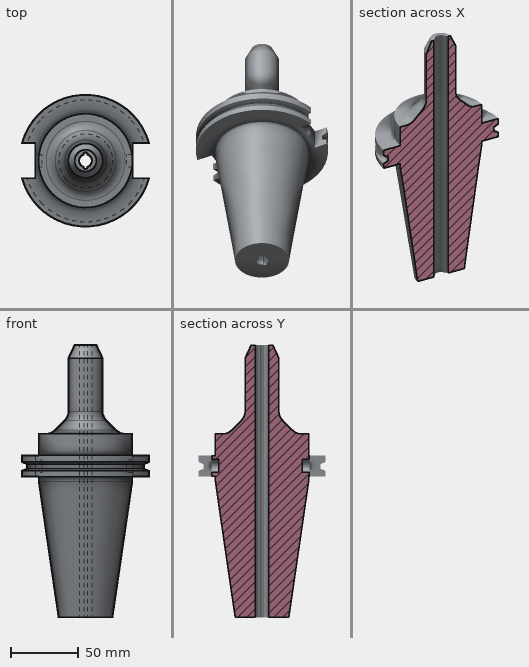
import cadquery as cq
import math

total_height = 203.2
gauge_height = 101.5
flange_bottom = 105.0
flange_thickness = 15.8
flange_top = flange_bottom + flange_thickness
flange_middle = flange_bottom + flange_thickness / 2
body_top = 137.0
neck_bottom = 153.6
nose_height = 10.0

taper_ratio = 7 / 24
gauge_radius = 35.0
taper_end_radius = gauge_radius - gauge_height * taper_ratio / 2
flange_radius = 49.2
neck_radius = 12.8
nose_radius = 8.1

flare_fillet = 9.5
flare_foot_radius = neck_radius + neck_bottom - body_top

groove_depth = 3.7
groove_width = 6.7
groove_floor_width = 3.5
groove_middle = 112.5

slot_width = 26.0
left_slot_floor_x = -37.5
right_slot_floor_x = 35.4
slot_hole_diameter = 9.3
slot_hole_depth = 5.0

bore_diameter = 9.3
coolant_groove_width = 2.8
coolant_groove_reach = 6.0


def turned_body():
    """Revolve the taper, flange, body, flare, neck and nose about Z."""
    half = math.radians(45)
    quarter = half / 2
    upper_center = (neck_radius + flare_fillet, neck_bottom)
    lower_center = (flare_foot_radius, body_top + flare_fillet)

    def below_left(center, angle):
        """Point on a fillet, angle measured from -X towards -Z."""
        return (
            center[0] - flare_fillet * math.cos(angle),
            center[1] - flare_fillet * math.sin(angle),
        )

    groove_floor_radius = flange_radius - groove_depth
    profile = (
        cq.Workplane("XZ")
        .moveTo(0, 0)
        .lineTo(taper_end_radius, 0)
        .lineTo(gauge_radius, gauge_height)
        .lineTo(gauge_radius, flange_bottom)
        .lineTo(flange_radius, flange_bottom)
        .lineTo(flange_radius, groove_middle - groove_width / 2)
        .lineTo(groove_floor_radius, groove_middle - groove_floor_width / 2)
        .lineTo(groove_floor_radius, groove_middle + groove_floor_width / 2)
        .lineTo(flange_radius, groove_middle + groove_width / 2)
        .lineTo(flange_radius, flange_top)
        .lineTo(gauge_radius, flange_top)
        .lineTo(gauge_radius, body_top)
        .lineTo(flare_foot_radius, body_top)
        .threePointArc(below_left(lower_center, half + quarter), below_left(lower_center, half))
        .lineTo(*below_left(upper_center, half))
        .threePointArc(below_left(upper_center, quarter), (neck_radius, neck_bottom))
        .lineTo(neck_radius, total_height - nose_height)
        .lineTo(nose_radius, total_height)
        .lineTo(0, total_height)
        .close()
    )
    return profile.revolve(360, (0, 0, 0), (0, 1, 0))


def drive_slot(floor_x):
    """Slot and floor hole to remove, open outwards from floor_x."""
    side = math.copysign(1, floor_x)
    slot_length = flange_radius
    slot = cq.Workplane("XY").box(slot_length, slot_width, flange_thickness).translate(
        (floor_x + side * slot_length / 2, 0, flange_middle)
    )
    hole = (
        cq.Workplane("YZ", origin=(floor_x, 0, flange_middle))
        .circle(slot_hole_diameter / 2)
        .extrude(-side * slot_hole_depth)
    )
    return slot.union(hole)


def coolant_bore():
    """Full-length bore joined with its two coolant grooves."""
    bore = cq.Workplane("XY").circle(bore_diameter / 2).extrude(total_height)
    grooves = (
        cq.Workplane("XY")
        .slot2D(2 * coolant_groove_reach, coolant_groove_width, 90)
        .extrude(total_height)
    )
    return bore.union(grooves)


result = turned_body().cut(coolant_bore())
for floor_x in (left_slot_floor_x, right_slot_floor_x):
    result = result.cut(drive_slot(floor_x))